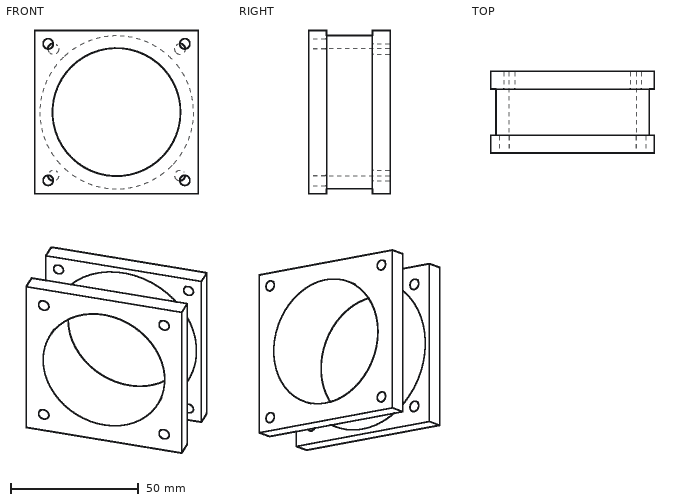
import cadquery as cq

side = 64.0
depth = 32.0
flange_thickness = 7.05
tube_diameter = 60.0
bore_diameter = 50.0

front_hole_diameter = 4.0
front_hole_spacing = 53.45
rear_hole_diameter = 4.15
rear_hole_spacing = 49.5


def flange(front_y, hole_spacing, hole_diameter):
    """Square plate with four corner holes, extending towards +Y from front_y."""
    plate = cq.Workplane("XZ", origin=(0, front_y, 0)).rect(side, side).extrude(-flange_thickness)
    holes = (
        cq.Workplane("XZ", origin=(0, front_y, 0))
        .rect(hole_spacing, hole_spacing, forConstruction=True)
        .vertices()
        .circle(hole_diameter / 2)
        .extrude(-flange_thickness)
    )
    return plate.cut(holes)


front_y = -depth / 2
rear_y = depth / 2 - flange_thickness
front_flange = flange(front_y, front_hole_spacing, front_hole_diameter)
rear_flange = flange(rear_y, rear_hole_spacing, rear_hole_diameter)

end_plane = cq.Workplane("XZ", origin=(0, front_y, 0))
tube = end_plane.circle(tube_diameter / 2).extrude(-depth)
bore = end_plane.circle(bore_diameter / 2).extrude(-depth)

result = front_flange.union(rear_flange).union(tube).cut(bore)